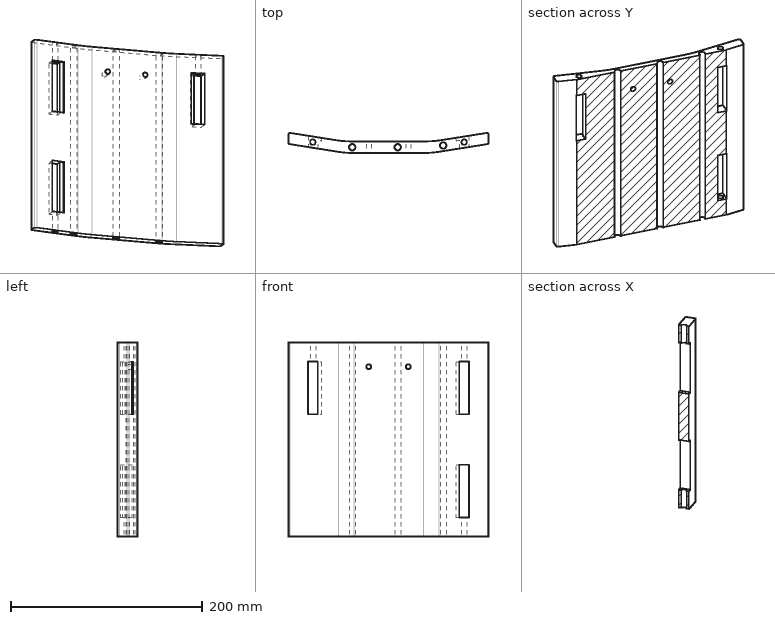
import cadquery as cq
import math

width = 209.55
height = 203.2
half_width = width / 2
middle_thickness = 12.4
wing_thickness = 11.9

wing_angle = math.radians(9)
wing_slope = math.tan(wing_angle)
front_bend_x = 44.5
bend_radius = 101.6
tip_edge_radius = 2.0

window_x = 79.2
window_width = 10.0
window_height = 55.0
window_edge_margin = 20.0
window_step_width = 3.75
window_step_depth = 3.0
lower_window_z = window_edge_margin
upper_window_z = height - window_edge_margin - window_height

through_hole_diameter = 6.5
through_hole_pitch = 47.6
middle_hole_x = 9.6
window_hole_diameter = 5.8

cross_hole_diameter = 5.0
cross_hole_x = 20.7
cross_hole_z = height - 25.4


def wing_front_y(x):
    """Y of the wing's front face at distance x from the middle plane."""
    return (x - front_bend_x) * wing_slope


def wing_back_y(x):
    """Y of the wing's back face at distance x from the middle plane."""
    return wing_front_y(x) + wing_thickness / math.cos(wing_angle)


def mid_thickness_y(x):
    """Y halfway between the front and back faces at x."""
    front_y = max(0, wing_front_y(abs(x)))
    back_y = max(middle_thickness, wing_back_y(abs(x)))
    return (front_y + back_y) / 2


def make_half_plate():
    """Right half of the bent plate, with rounded bends and rounded tip edges."""
    back_bend_x = front_bend_x + (middle_thickness - wing_back_y(front_bend_x)) / wing_slope
    outline = [
        (0, 0),
        (front_bend_x, 0),
        (half_width, wing_front_y(half_width)),
        (half_width, wing_back_y(half_width)),
        (back_bend_x, middle_thickness),
        (0, middle_thickness),
    ]
    half = cq.Workplane("XY").polyline(outline).close().extrude(height)
    half = half.faces(">X").edges("|Z").fillet(tip_edge_radius)
    for bend_point in [(front_bend_x, 0, height / 2), (back_bend_x, middle_thickness, height / 2)]:
        half = half.edges(cq.selectors.NearestToPointSelector(bend_point)).fillet(bend_radius)
    return half


def vertical_hole(x, diameter, bottom_z, depth):
    """Cutter for a hole along Z at mid thickness."""
    return (
        cq.Workplane("XY", origin=(x, mid_thickness_y(x), bottom_z))
        .circle(diameter / 2)
        .extrude(depth)
    )


def window(side, bottom_z):
    """Cutter for a window in the right wing (side 1) or the left wing (side -1)."""
    inner_x = window_x - window_width / 2
    outer_x = window_x + window_width / 2
    step_x = inner_x - window_step_width
    end_y = wing_back_y(outer_x)
    outline = [
        (side * inner_x, 0),
        (side * outer_x, 0),
        (side * outer_x, end_y),
        (side * step_x, end_y),
        (side * step_x, wing_back_y(step_x) - window_step_depth),
        (side * inner_x, wing_back_y(inner_x) - window_step_depth),
    ]
    return cq.Workplane("XY", origin=(0, 0, bottom_z)).polyline(outline).close().extrude(window_height)


def cross_hole(x):
    """Cutter for a hole through the flat middle along Y."""
    return (
        cq.Workplane("XZ", origin=(x, 0, cross_hole_z))
        .circle(cross_hole_diameter / 2)
        .extrude(-middle_thickness)
    )


half_plate = make_half_plate()
plate = half_plate.union(half_plate.mirror("YZ")).clean()

for step in (-1, 0, 1):
    hole_x = middle_hole_x + step * through_hole_pitch
    plate = plate.cut(vertical_hole(hole_x, through_hole_diameter, 0, height))

for side in (-1, 1):
    plate = plate.cut(window(side, upper_window_z))
    top_hole_z = upper_window_z + window_height
    plate = plate.cut(vertical_hole(side * window_x, window_hole_diameter, top_hole_z, window_edge_margin))
    plate = plate.cut(cross_hole(side * cross_hole_x))

plate = plate.cut(window(1, lower_window_z))
plate = plate.cut(vertical_hole(window_x, window_hole_diameter, 0, window_edge_margin))

result = plate